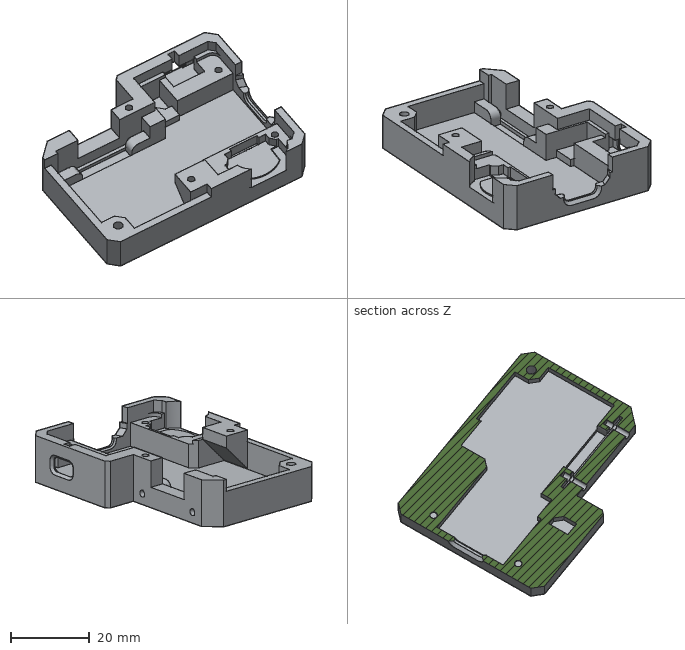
import cadquery as cq
import math

LENGTH_X = 45.0
LENGTH_Y = 60.0
HEIGHT = 12.56
FLOOR = 2.0
LOW_WALL = 9.36
SHELF = 8.36
CORNER_CHAMFER = 2.5

BODY_LEFT = 8.8
WING_FRONT = 30.0
WING_CHAMFER = 1.0
FRONT_LEFT_CHAMFER = 4.0

REAR_INNER = LENGTH_Y - 2.0
FRONT_INNER = 2.0
WING_INNER_LEFT = 3.0
REAR_INNER_RIGHT = LENGTH_X - 3.0
FRONT_INNER_RIGHT = LENGTH_X - 1.9
INNER_CHAMFER = 1.5
REAR_CAVITY_FRONT = 34.0
LEFT_WALL_INNER = 12.8
LEFT_STRIP = 13.73
STRIP_FRONT = 4.0

SEAT_LEFT = 4.13
SEAT_RIGHT = REAR_INNER_RIGHT - 1.0
SEAT_RADIUS = 2.25
LEFT_RIM_FRONT = 34.67
RIGHT_RIM_FRONT = 35.07

LEFT_SHELF_RIGHT = 12.4
LEFT_SHELF_FRONT = 41.07
RIGHT_SHELF_LEFT = 32.67
RIGHT_SHELF_CHAMFER = 1.75

STEP_RIGHT = 13.5
STEP_TOP = 4.0
STEP_POCKET_RIGHT = 9.87
STEP_POCKET_FRONT = 37.2
STEP_POCKET_CHAMFER = 1.9

CHANNEL_RIGHT = 16.7
CHANNEL_FLOOR = 1.0
PIN_DIAMETER = 1.8
PIN_BOSS_DIAMETER = 4.2
PIN_Z = 2.95
PIN_END_WALL = 1.0
PIN_REAR_Y = 26.6
PIN_FRONT_Y = 7.45
SIDE_SLOT_FRONT = 10.7
SIDE_SLOT_REAR = 23.35
SIDE_SLOT_BOTTOM = 5.5

SCREW_DIAMETER = 1.8
SCREW_DEPTH = 5.0
SHELF_SCREWS_Y = 55.5
SHELF_SCREWS_X = (9.45, 35.5)
POST_SCREWS_Y = 27.53
POST_SCREWS_X = (10.7, 39.5)
POST_LEFT = 35.87
POST_FRONT = 25.0
CORNER_HOLE_DIAMETER = 2.4
CORNER_HOLE = (40.07, 5.0)
CORNER_BLOCK_LEFT = 36.9
CORNER_BLOCK_REAR = 7.93
CORNER_BLOCK_CHAMFER = 2.0

SIDE_PORT_Y = 47.5
SIDE_PORT_Z = 6.5
SIDE_PORT_WIDTH = 8.85
SIDE_PORT_HEIGHT = 5.3
SIDE_PORT_RADIUS = 1.9
SIDE_PORT_FLARE = 0.7
CONNECTOR_FRONT = 42.93
CONNECTOR_REAR = 52.33
CONNECTOR_RIGHT = 7.93
FLANGE_MARGIN = 1.0
PEG_LEFT = 1.07
PEG_FRONT = 45.7
PEG_WIDTH = 2.0

REAR_NOTCH_X = LENGTH_X / 2
REAR_NOTCH_HALF = 9.1
REAR_SLOPE_TOP = 6.9
REAR_LEDGE = 5.3
INNER_SLOPE_HALVES = (9.0, 7.5)
OUTER_SLOPE_HALVES = (8.3, 6.75)
PORT_CORNER_X = 3.3
PORT_CORNER_Z = 4.85
THROAT_RADIUS = 1.65
OUTER_PORT_RADIUS = 2.5
INNER_PORT_RADIUS = 2.1

BUTTON_Y = 47.4
BUTTON_FLOOR = 5.4
BUTTON_PAD = 5.8
BUTTON_LEFT = 34.1
BUTTON_HALF = 6.2
BUTTON_CHAMFER_X = 35.6
BUTTON_ARM_X = 37.1
BUTTON_ARM_HALF = 8.1
BUTTON_WALL_HALF = 7.5
BUTTON_MOUTH_HALF = 5.25
BUTTON_ARC_POINT = (43.7, 6.65)
PAD_HALF = 5.9
PAD_SHOULDER = (41.4, 5.75)
PAD_TIP = 43.5
BUTTON_TAB_LEFT = 33.3
BUTTON_TAB_HALF = 4.15


def block(x0, x1, y0, y1, z0, z1):
    """Axis-aligned box between two opposite corners."""
    return cq.Workplane("XY").box(x1 - x0, y1 - y0, z1 - z0, centered=False).translate((x0, y0, z0))


def prism(points, z0, z1):
    """Vertical prism over a polygon."""
    return cq.Workplane("XY").workplane(offset=z0).polyline(points).close().extrude(z1 - z0)


def case_body():
    """Solid block of the case outline at full height."""
    outline = [
        (0, WING_FRONT + WING_CHAMFER),
        (WING_CHAMFER, WING_FRONT),
        (BODY_LEFT, WING_FRONT),
        (BODY_LEFT, FRONT_LEFT_CHAMFER),
        (BODY_LEFT + FRONT_LEFT_CHAMFER, 0),
        (LENGTH_X - CORNER_CHAMFER, 0),
        (LENGTH_X, CORNER_CHAMFER),
        (LENGTH_X, LENGTH_Y - CORNER_CHAMFER),
        (LENGTH_X - CORNER_CHAMFER, LENGTH_Y),
        (CORNER_CHAMFER, LENGTH_Y),
        (0, LENGTH_Y - CORNER_CHAMFER),
    ]
    return prism(outline, 0, HEIGHT)


def rear_cavity():
    """Wide rear cavity to the floor, with chamfered rear corners."""
    cavity = block(WING_INNER_LEFT, REAR_INNER_RIGHT, REAR_CAVITY_FRONT, REAR_INNER, FLOOR, HEIGHT)
    return cavity.edges("|Z and >Y").chamfer(INNER_CHAMFER)


def right_post():
    """Screw post hung on the right wall, with a 45 degree underside rising to its free edge."""
    section = [
        (POST_LEFT, HEIGHT),
        (POST_LEFT, LOW_WALL),
        (FRONT_INNER_RIGHT, LOW_WALL - (FRONT_INNER_RIGHT - POST_LEFT)),
        (FRONT_INNER_RIGHT, HEIGHT),
    ]
    plane = cq.Workplane("XZ", origin=(0, POST_FRONT, 0))
    return plane.polyline(section).close().extrude(POST_FRONT - REAR_CAVITY_FRONT)


def front_cavity():
    """Front cavity to the floor, less the right post and the corner block."""
    cavity = block(LEFT_STRIP, FRONT_INNER_RIGHT, FRONT_INNER, REAR_CAVITY_FRONT, FLOOR, HEIGHT)
    corner = block(CORNER_BLOCK_LEFT, LENGTH_X, 0, CORNER_BLOCK_REAR, FLOOR, HEIGHT)
    corner = corner.edges("|Z and <X and >Y").chamfer(CORNER_BLOCK_CHAMFER)
    strip = block(LEFT_WALL_INNER, LEFT_STRIP, STRIP_FRONT, REAR_CAVITY_FRONT, FLOOR, HEIGHT)
    return cavity.cut(right_post()).cut(corner).union(strip)


def low_walls():
    """Space above the low front walls."""
    return block(LEFT_STRIP, LENGTH_X, 0, POST_FRONT, LOW_WALL, HEIGHT).union(
        block(FRONT_INNER_RIGHT, LENGTH_X, 0, WING_FRONT, LOW_WALL, HEIGHT)
    )


def seat(front):
    """Round-cornered board seat from its front edge back to the rear wall."""
    recess = block(SEAT_LEFT, SEAT_RIGHT, front, REAR_INNER, SHELF, HEIGHT)
    return recess.edges("|Z").fillet(SEAT_RADIUS)


def left_inserts():
    """Rim, shelf, low step and channel end block along the left of the rear cavity."""
    front_rim = block(
        WING_INNER_LEFT, STEP_RIGHT, REAR_CAVITY_FRONT, LEFT_RIM_FRONT, FLOOR, LOW_WALL
    )
    side_rim = block(
        WING_INNER_LEFT, SEAT_LEFT, REAR_CAVITY_FRONT, LEFT_SHELF_FRONT, FLOOR, LOW_WALL
    )
    end_block = block(LEFT_WALL_INNER, CHANNEL_RIGHT, WING_FRONT, LEFT_RIM_FRONT, FLOOR, LOW_WALL)
    shelf = block(
        WING_INNER_LEFT, LEFT_SHELF_RIGHT, LEFT_SHELF_FRONT, REAR_INNER, FLOOR, LOW_WALL
    ).cut(seat(LEFT_RIM_FRONT))
    step = block(SEAT_LEFT, STEP_RIGHT, LEFT_RIM_FRONT, LEFT_SHELF_FRONT, FLOOR, STEP_TOP)
    step_pocket = block(
        SEAT_LEFT, STEP_POCKET_RIGHT, STEP_POCKET_FRONT, LEFT_SHELF_FRONT, FLOOR, STEP_TOP
    )
    step_pocket = step_pocket.edges("|Z and >X and <Y").chamfer(STEP_POCKET_CHAMFER)
    return front_rim.union(side_rim).union(end_block).union(shelf).union(step.cut(step_pocket))


def right_shelf():
    """Board shelf and rim along the right of the rear cavity."""
    shelf = block(
        RIGHT_SHELF_LEFT, REAR_INNER_RIGHT, REAR_CAVITY_FRONT, REAR_INNER, FLOOR, LOW_WALL
    )
    shelf = shelf.edges("|Z and <X and <Y").chamfer(RIGHT_SHELF_CHAMFER)
    return shelf.cut(seat(RIGHT_RIM_FRONT))


def pin_boss(pin_y, end_y):
    """Boss around a pin hole: a round shoulder running flat to the end of the channel."""
    radius = PIN_BOSS_DIAMETER / 2
    shoulder = (
        cq.Workplane("YZ")
        .workplane(offset=LEFT_STRIP)
        .center(pin_y, PIN_Z)
        .circle(radius)
        .extrude(CHANNEL_RIGHT - LEFT_STRIP)
    )
    shoulder_y = pin_y + math.copysign(radius, pin_y - end_y)
    flat_front, flat_rear = sorted((pin_y, end_y))
    flat = block(LEFT_STRIP, CHANNEL_RIGHT, flat_front, flat_rear, CHANNEL_FLOOR, PIN_Z + radius)
    foot_front, foot_rear = sorted((pin_y, shoulder_y))
    foot = block(LEFT_STRIP, CHANNEL_RIGHT, foot_front, foot_rear, CHANNEL_FLOOR, PIN_Z)
    return shoulder.union(flat).union(foot)


def pin_hole(pin_y):
    """Blind pin hole from the left face through the wall into its boss."""
    depth = CHANNEL_RIGHT - PIN_END_WALL - BODY_LEFT
    plane = cq.Workplane("YZ").workplane(offset=BODY_LEFT).center(pin_y, PIN_Z)
    return plane.circle(PIN_DIAMETER / 2).extrude(depth)


def screw_hole(x, y, top):
    """Blind screw hole down from the given top face."""
    plane = cq.Workplane("XY").workplane(offset=top).center(x, y)
    return plane.circle(SCREW_DIAMETER / 2).extrude(-SCREW_DEPTH)


def rounded_port(inset, x0, depth, taper):
    """Round-cornered opening along X; a positive taper narrows it with depth."""
    return (
        cq.Workplane("YZ")
        .workplane(offset=x0)
        .center(SIDE_PORT_Y, SIDE_PORT_Z)
        .sketch()
        .rect(SIDE_PORT_WIDTH - 2 * inset, SIDE_PORT_HEIGHT - 2 * inset)
        .vertices()
        .fillet(SIDE_PORT_RADIUS - inset)
        .finalize()
        .extrude(depth, taper=taper)
    )


def side_connector():
    """Flared port through the wing wall, with the flange recess, pocket and peg notch behind it."""
    flare = rounded_port(0, 0, SIDE_PORT_FLARE, 45)
    throat = rounded_port(SIDE_PORT_FLARE, 0, PEG_LEFT, 0)
    half_height = SIDE_PORT_HEIGHT / 2 - SIDE_PORT_FLARE
    bottom = SIDE_PORT_Z - half_height
    top = SIDE_PORT_Z + half_height
    flange = block(
        PEG_LEFT,
        WING_INNER_LEFT,
        CONNECTOR_FRONT - FLANGE_MARGIN,
        CONNECTOR_REAR + FLANGE_MARGIN,
        bottom,
        top,
    )
    pocket = block(
        WING_INNER_LEFT, CONNECTOR_RIGHT, CONNECTOR_FRONT, CONNECTOR_REAR, bottom, HEIGHT
    )
    peg = block(PEG_LEFT, WING_INNER_LEFT, PEG_FRONT, PEG_FRONT + PEG_WIDTH, bottom, HEIGHT)
    return flare.union(throat).union(flange).union(pocket).union(peg)


def slope_wire(plane, halves):
    upper, lower = halves
    return plane.polyline(
        [(-upper, SHELF), (-upper, REAR_SLOPE_TOP), (-lower, REAR_LEDGE),
         (lower, REAR_LEDGE), (upper, REAR_SLOPE_TOP), (upper, SHELF)]
    ).close()


def port_wire(plane, radius):
    """U-shaped section of the connector opening with round lower corners."""
    half = PORT_CORNER_X + radius
    bottom = PORT_CORNER_Z - radius
    diagonal = radius * math.sqrt(0.5)
    return (
        plane.moveTo(-half, SHELF)
        .lineTo(-half, PORT_CORNER_Z)
        .threePointArc(
            (-PORT_CORNER_X - diagonal, PORT_CORNER_Z - diagonal), (-PORT_CORNER_X, bottom)
        )
        .lineTo(PORT_CORNER_X, bottom)
        .threePointArc((PORT_CORNER_X + diagonal, PORT_CORNER_Z - diagonal), (half, PORT_CORNER_Z))
        .lineTo(half, SHELF)
        .close()
    )


def rear_plane(y):
    """Section plane at y, centred on the rear opening."""
    return cq.Workplane("XZ", origin=(REAR_NOTCH_X, y, 0))


def between(make_wire, y0, size0, y1, size1):
    """Ruled solid between two sections of the rear opening."""
    first = make_wire(rear_plane(y0), size0)
    second = make_wire(first.workplane(offset=y0 - y1), size1)
    return second.loft(ruled=True)


def rear_connector():
    """Rear notch: square top, sloping sides below it, and a U opening flared on both faces."""
    notch = block(
        REAR_NOTCH_X - REAR_NOTCH_HALF,
        REAR_NOTCH_X + REAR_NOTCH_HALF,
        REAR_INNER,
        LENGTH_Y,
        SHELF,
        HEIGHT,
    )
    slopes = between(slope_wire, REAR_INNER, INNER_SLOPE_HALVES, LENGTH_Y, OUTER_SLOPE_HALVES)
    throat_inner = REAR_INNER + INNER_PORT_RADIUS - THROAT_RADIUS
    throat_outer = LENGTH_Y - (OUTER_PORT_RADIUS - THROAT_RADIUS)
    inner = between(port_wire, REAR_INNER, INNER_PORT_RADIUS, throat_inner, THROAT_RADIUS)
    throat = between(port_wire, throat_inner, THROAT_RADIUS, throat_outer, THROAT_RADIUS)
    outer = between(port_wire, throat_outer, THROAT_RADIUS, LENGTH_Y, OUTER_PORT_RADIUS)
    return notch.union(slopes).union(inner).union(throat).union(outer)


def button_recess():
    """Side-button recess opening through the right wall, around a slightly raised pad."""
    arc_x, arc_half = BUTTON_ARC_POINT
    recess = (
        cq.Workplane("XY", origin=(0, BUTTON_Y, BUTTON_FLOOR))
        .moveTo(BUTTON_LEFT, -BUTTON_HALF)
        .lineTo(BUTTON_CHAMFER_X, -BUTTON_HALF)
        .lineTo(BUTTON_ARM_X, -BUTTON_WALL_HALF)
        .lineTo(BUTTON_ARM_X, -BUTTON_ARM_HALF)
        .lineTo(REAR_INNER_RIGHT, -BUTTON_ARM_HALF)
        .lineTo(REAR_INNER_RIGHT, -BUTTON_WALL_HALF)
        .threePointArc((arc_x, -arc_half), (LENGTH_X, -BUTTON_MOUTH_HALF))
        .lineTo(LENGTH_X, BUTTON_MOUTH_HALF)
        .threePointArc((arc_x, arc_half), (REAR_INNER_RIGHT, BUTTON_WALL_HALF))
        .lineTo(REAR_INNER_RIGHT, BUTTON_ARM_HALF)
        .lineTo(BUTTON_ARM_X, BUTTON_ARM_HALF)
        .lineTo(BUTTON_ARM_X, BUTTON_WALL_HALF)
        .lineTo(BUTTON_CHAMFER_X, BUTTON_HALF)
        .lineTo(BUTTON_LEFT, BUTTON_HALF)
        .close()
        .extrude(HEIGHT - BUTTON_FLOOR)
    )
    tab = block(
        BUTTON_TAB_LEFT,
        BUTTON_LEFT,
        BUTTON_Y - BUTTON_TAB_HALF,
        BUTTON_Y + BUTTON_TAB_HALF,
        BUTTON_FLOOR,
        HEIGHT,
    )
    shoulder_x, shoulder_half = PAD_SHOULDER
    pad = (
        cq.Workplane("XY", origin=(0, BUTTON_Y, BUTTON_FLOOR))
        .moveTo(BUTTON_LEFT, -BUTTON_HALF)
        .lineTo(BUTTON_CHAMFER_X, -BUTTON_HALF)
        .lineTo(BUTTON_ARM_X, -BUTTON_WALL_HALF)
        .lineTo(BUTTON_ARM_X, -PAD_HALF)
        .lineTo(shoulder_x, -shoulder_half)
        .threePointArc((PAD_TIP, 0), (shoulder_x, shoulder_half))
        .lineTo(BUTTON_ARM_X, PAD_HALF)
        .lineTo(BUTTON_ARM_X, BUTTON_WALL_HALF)
        .lineTo(BUTTON_CHAMFER_X, BUTTON_HALF)
        .lineTo(BUTTON_LEFT, BUTTON_HALF)
        .close()
        .extrude(BUTTON_PAD - BUTTON_FLOOR)
    )
    return recess.union(tab).cut(pad)


def channel():
    """Sunken channel in the floor beside the left wall."""
    return block(LEFT_STRIP, CHANNEL_RIGHT, FRONT_INNER, WING_FRONT, CHANNEL_FLOOR, FLOOR)


def side_slot():
    """Open-topped slot through the left wall."""
    return block(
        BODY_LEFT, LEFT_WALL_INNER, SIDE_SLOT_FRONT, SIDE_SLOT_REAR, SIDE_SLOT_BOTTOM, HEIGHT
    )


def corner_hole():
    """Through hole in the front right corner block."""
    plane = cq.Workplane("XY").center(*CORNER_HOLE)
    return plane.circle(CORNER_HOLE_DIAMETER / 2).extrude(HEIGHT)


result = case_body().cut(rear_cavity()).cut(front_cavity()).cut(low_walls())
result = result.union(left_inserts()).union(right_shelf())

result = result.cut(channel())
for pin_y, end_y in ((PIN_REAR_Y, WING_FRONT), (PIN_FRONT_Y, FRONT_INNER)):
    result = result.union(pin_boss(pin_y, end_y)).cut(pin_hole(pin_y))
result = result.cut(side_slot())

result = result.cut(side_connector()).cut(rear_connector()).cut(button_recess())

for screw_x in SHELF_SCREWS_X:
    result = result.cut(screw_hole(screw_x, SHELF_SCREWS_Y, SHELF))
for screw_x in POST_SCREWS_X:
    result = result.cut(screw_hole(screw_x, POST_SCREWS_Y, HEIGHT))
result = result.cut(corner_hole())